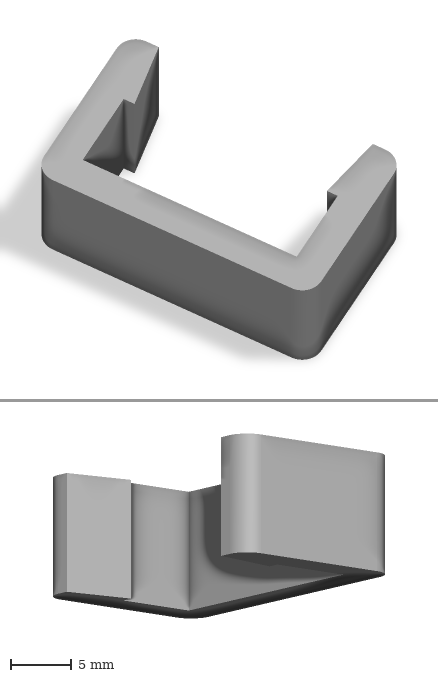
import cadquery as cq

width = 26.2
depth = 16.0
height = 10.0

wall = 2.99
corner_radius = 1.8

hook_length = 6.0
hook_reach = 1.02

inner_half_width = width / 2 - wall
hook_half_gap = inner_half_width - hook_reach
hook_shoulder_y = depth - hook_length


def make_body():
    """Solid block with its four vertical edges rounded."""
    block = cq.Workplane("XY").box(width, depth, height, centered=(True, False, False))
    return block.edges("|Z").fillet(corner_radius)


def make_channel():
    """Opening between the arms, narrowed by the tapered hooks."""
    right_side = [
        (inner_half_width, wall),
        (inner_half_width, hook_shoulder_y),
        (hook_half_gap, hook_shoulder_y),
        (inner_half_width, depth),
    ]
    left_side = [(-x, y) for x, y in reversed(right_side)]
    return cq.Workplane("XY").polyline(right_side + left_side).close().extrude(height)


result = make_body().cut(make_channel())